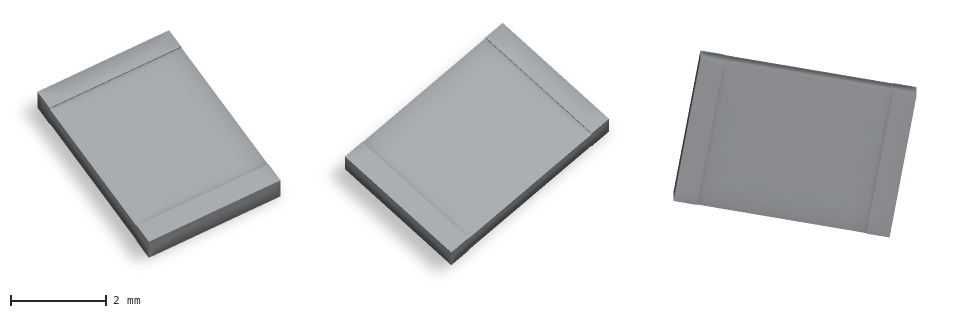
import cadquery as cq

length = 4.6
width = 3.2
height = 0.55

terminal_length = 0.5
terminal_step = 0.03

body_length = length - 2 * terminal_length
body_height = height - 2 * terminal_step
terminal_center_x = (length - terminal_length) / 2

result = cq.Workplane("XY").box(body_length, width, body_height)

for side in (-1, 1):
    terminal = cq.Workplane("XY").box(terminal_length, width, height)
    result = result.union(terminal.translate((side * terminal_center_x, 0, 0)))